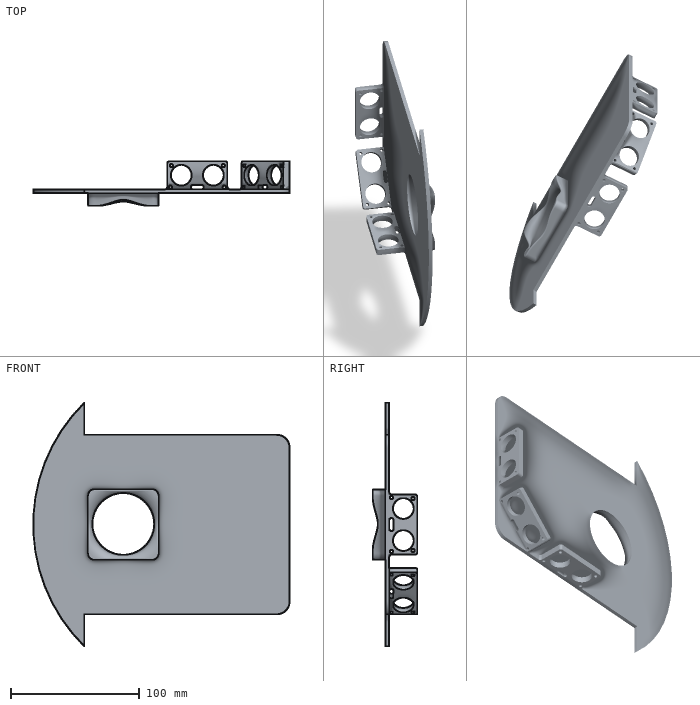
import cadquery as cq
import math

plate_thickness = 3.0
plate_length = 200.0
plate_height = 140.0
plate_corner_radius = 10.0
head_length = 40.0
head_height = 190.0

duct_x = 70.3
duct_side = 55.0
duct_depth = 10.0
duct_corner_radius = 5.0
duct_rim_fillet = 1.0
bore_diameter = 48.0
bore_z = 0.5
flare_radius = duct_depth

bracket_width = 47.0
bracket_height = 22.0
bracket_thickness = 5.0
bracket_corner_radius = 2.0
bracket_foot_fillet = 2.0
eye_diameter = 16.0
eye_spacing = 25.0
eye_height = bracket_height / 2
screw_diameter = 2.4
upper_screw_spacing = 40.5
upper_screw_height = 18.5
lower_screw_spacing = 42.0
lower_screw_height = 1.7
slot_length = 10.0
slot_height = 3.2
slot_centre_height = 1.7

bottom_bracket_x = 128.0
corner_bracket_x = 179.0
corner_bracket_z = -50.4
both_ends = (-1, 1)
left_end_only = (-1,)

bracket_placements = [
    (bottom_bracket_x, bracket_thickness - plate_height / 2, 0, both_ends),
    (corner_bracket_x, corner_bracket_z, -45, left_end_only),
    (plate_length - bracket_thickness, 0, -90, both_ends),
]


def make_plate():
    """Rectangular plate with square-shouldered, arc-shaped head and rounded +X corners."""
    half_head = head_height / 2
    half_plate = plate_height / 2
    outline = (
        cq.Workplane("XZ")
        .moveTo(head_length, half_head)
        .threePointArc((0, 0), (head_length, -half_head))
        .lineTo(head_length, -half_plate)
        .lineTo(plate_length, -half_plate)
        .lineTo(plate_length, half_plate)
        .lineTo(head_length, half_plate)
        .close()
    )
    plate = outline.extrude(-plate_thickness)
    return plate.edges("|Y and >X").fillet(plate_corner_radius)


def make_bore():
    """Round bore that widens toward the front along a quarter circle."""
    bore_radius = bore_diameter / 2
    mouth_radius = bore_radius + flare_radius
    flare_diagonal = flare_radius * math.sqrt(0.5)
    flare_middle = (mouth_radius - flare_diagonal, -flare_diagonal)
    return (
        cq.Workplane("XY")
        .moveTo(0, plate_thickness)
        .lineTo(bore_radius, plate_thickness)
        .lineTo(bore_radius, 0)
        .threePointArc(flare_middle, (mouth_radius, -duct_depth))
        .lineTo(0, -duct_depth)
        .close()
        .revolve(360, (0, 0, 0), (0, 1, 0))
        .translate((duct_x, 0, bore_z))
    )


def make_duct(bore):
    """Square duct block whose rim is scalloped by the flare and then rounded."""
    block = (
        cq.Workplane("XZ")
        .center(duct_x, 0)
        .rect(duct_side, duct_side)
        .extrude(duct_depth)
        .edges("|Y")
        .fillet(duct_corner_radius)
    )
    duct = block.cut(bore)
    rim = duct.faces("|X or |Z").edges("not(|Y or >Y)")
    return rim.fillet(duct_rim_fillet)


def make_foot(end):
    """Concave fillet between the plate and one end (-1 or 1) of a bracket."""
    end_x = end * bracket_width / 2
    return (
        cq.Workplane("XY")
        .moveTo(end_x, 0)
        .lineTo(end_x + end * bracket_foot_fillet, 0)
        .radiusArc((end_x, bracket_foot_fillet), end * bracket_foot_fillet)
        .close()
        .extrude(-bracket_thickness)
    )


def make_bracket(foot_ends):
    """Bracket in its own axes: width along X, height along Y, inward face at Z = 0."""
    bracket = (
        cq.Workplane("XY")
        .center(0, bracket_height / 2)
        .rect(bracket_width, bracket_height)
        .extrude(-bracket_thickness)
        .edges("|Z and >Y")
        .fillet(bracket_corner_radius)
    )
    for end in foot_ends:
        bracket = bracket.union(make_foot(end))

    slot = cq.Workplane("XY").center(0, slot_centre_height).slot2D(slot_length, slot_height)
    bracket = bracket.cut(slot.extrude(-bracket_thickness))

    hole_pairs = [
        (eye_spacing, eye_height, eye_diameter),
        (upper_screw_spacing, upper_screw_height, screw_diameter),
        (lower_screw_spacing, lower_screw_height, screw_diameter),
    ]
    for spacing, height, diameter in hole_pairs:
        pair = cq.Workplane("XY").pushPoints([(-spacing / 2, height), (spacing / 2, height)])
        bracket = bracket.cut(pair.circle(diameter / 2).extrude(-bracket_thickness))
    return bracket


def place_bracket(x, z, turn, foot_ends):
    """Bracket turned, set on the back face and trimmed flush with the plate edges."""
    bracket = make_bracket(foot_ends).rotate((0, 0, 0), (0, 1, 0), turn)
    bracket = bracket.translate((x, plate_thickness, z))
    trim_size = (plate_length, bracket_height, plate_height)
    trim_centre = (plate_length / 2, plate_thickness + bracket_height / 2, 0)
    return bracket.intersect(cq.Workplane("XY").box(*trim_size).translate(trim_centre))


bore = make_bore()
result = make_plate().cut(bore).union(make_duct(bore))
for placement in bracket_placements:
    result = result.union(place_bracket(*placement))